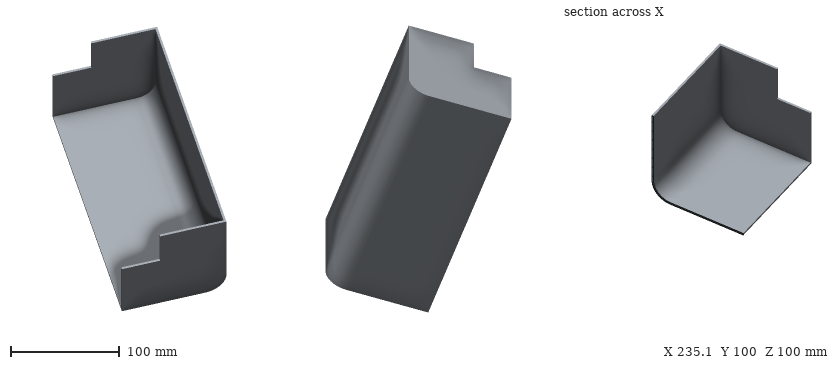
import cadquery as cq

length = 235.1
depth = 100.0
height = 100.0

wall = 2.2
leg = 63.4
outer_radius = 20.0
inner_radius = outer_radius - wall


def extrude_rounded(outline, extrusion_length, radius):
    """Extrude a (Y, Z) outline along X, centred, and round its back bottom edge."""
    block = (
        cq.Workplane("YZ")
        .polyline(outline)
        .close()
        .extrude(extrusion_length / 2, both=True)
    )
    return block.edges("|X and >Y and <Z").fillet(radius)


def make_body():
    """Solid block with an L-shaped section."""
    outline = [
        (0, 0),
        (depth, 0),
        (depth, height),
        (depth - leg, height),
        (depth - leg, leg),
        (0, leg),
    ]
    return extrude_rounded(outline, length, outer_radius)


def make_cavity():
    """Space between the two end walls, open to the front and the top."""
    outline = [
        (0, wall),
        (depth - wall, wall),
        (depth - wall, height),
        (0, height),
    ]
    return extrude_rounded(outline, length - 2 * wall, inner_radius)


result = make_body().cut(make_cavity())